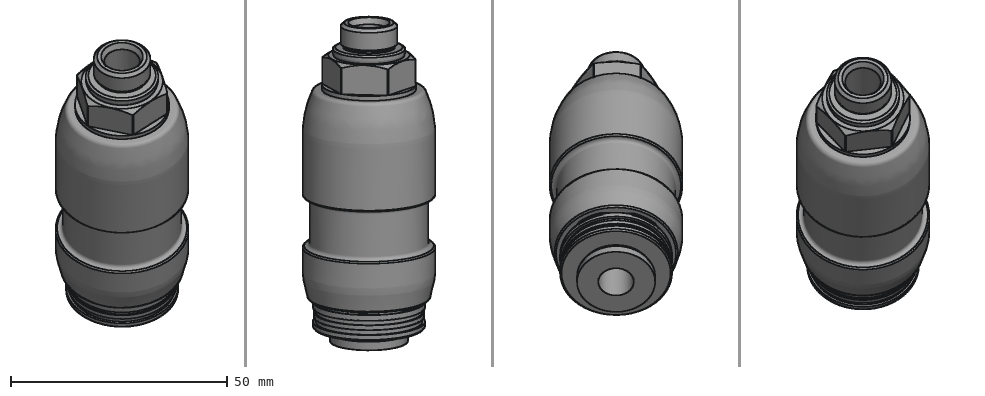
import cadquery as cq
import math

TOTAL_HEIGHT = 76.0

BORE_DIA = 8.2
BORE_MOUTH_DIA = 9.65
BORE_MOUTH_DEPTH = 1.45

SPIGOT_DIA = 18.1
SPIGOT_TOP_Z = 2.05
SPIGOT_NECK_DIA = 16.95

RING_DIA = 26.0
RING_MIDDLE_DIA = 25.5
GROOVE_DIA = 24.8
RING_STACK_BOTTOM_Z = 3.2
RING_CHAMFER = 0.4
GROOVE_HEIGHT = 1.15
LOWER_RING_TOP_Z = 4.6
UPPER_RING_BOTTOM_Z = LOWER_RING_TOP_Z + 3 * GROOVE_HEIGHT
UPPER_RING_TOP_Z = 9.4

BAND_DIA = 25.5
BAND_ACROSS_FLATS = 24.5

SLEEVE_DIA = 30.8
SLEEVE_RADIUS = SLEEVE_DIA / 2
EDGE_CHAMFER = 0.4
COLLAR_BOTTOM_Z = 10.25
COLLAR_CONE_ANGLE = 13.0
COLLAR_ARC_BOTTOM_Z = 14.7
COLLAR_ARC_TOP_Z = 16.5
COLLAR_TOP_Z = 22.7
WAIST_DIA = 27.5
WAIST_FILLET = 0.9
BODY_BOTTOM_Z = 34.65
BODY_SHOULDER_Z = 49.85
DOME_BOTTOM_Z = 50.9
DOME_BOTTOM_RADIUS = 15.35
BODY_TOP_Z = 60.1
BODY_TOP_DIA = 24.8
DOME_TOP_RADIUS = 13.2
BODY_TOP_ROUND_HEIGHT = 0.7

FLANGE_DIA = 21.8
HEX_BOTTOM_Z = 61.2
HEX_TOP_Z = 68.25
HEX_ACROSS_FLATS = 19.0
HEX_CORNER_DIA = 21.7
HEX_CHAMFER_DIA = 18.85
HEX_CHAMFER_HEIGHT = 0.8

DISC_DIA = 16.8
DISC_TOP_DIA = 15.6
DISC_TOP_Z = 70.15
DISC_CHAMFER_HEIGHT = 0.4
DISC_TAPER_TOP_Z = 68.85
DISC_BOTTOM_DIA = 16.4

NIPPLE_DIA = 13.15
NIPPLE_TOP_DIA = 11.5
NIPPLE_TOP_CHAMFER = 0.75
NIPPLE_NECK_DIA = 12.0
NIPPLE_NECK_TOP_Z = 70.5
NIPPLE_BOTTOM_Z = 71.05


def disc(diameter, bottom_z, top_z):
    return cq.Workplane("XY").workplane(offset=bottom_z).circle(diameter / 2).extrude(top_z - bottom_z)


def cone(bottom_dia, top_dia, bottom_z, top_z):
    profile = cq.Workplane("XZ").moveTo(0, bottom_z).lineTo(bottom_dia / 2, bottom_z)
    return profile.lineTo(top_dia / 2, top_z).lineTo(0, top_z).close().revolve(360, (0, 0), (0, 1))


def hex_prism(across_flats, bottom_z, top_z):
    """Hexagonal prism with flats facing +X and -X."""
    corner_dia = across_flats / math.cos(math.pi / 6)
    prism = cq.Workplane("XY").polygon(6, corner_dia).extrude(top_z - bottom_z)
    return prism.rotate((0, 0, 0), (0, 0, 1), 30).translate((0, 0, bottom_z))


def make_spigot():
    foot = disc(SPIGOT_DIA, 0, SPIGOT_TOP_Z)
    return foot.union(disc(SPIGOT_NECK_DIA, SPIGOT_TOP_Z, RING_STACK_BOTTOM_Z))


def make_ring_stack():
    stack = disc(GROOVE_DIA, LOWER_RING_TOP_Z, UPPER_RING_BOTTOM_Z)
    middle_z = LOWER_RING_TOP_Z + GROOVE_HEIGHT
    stack = stack.union(disc(RING_MIDDLE_DIA, middle_z, middle_z + GROOVE_HEIGHT))
    stack = stack.union(disc(RING_DIA, UPPER_RING_BOTTOM_Z, UPPER_RING_TOP_Z))
    lower_ring = disc(RING_DIA, RING_STACK_BOTTOM_Z, LOWER_RING_TOP_Z).faces("<Z").chamfer(RING_CHAMFER)
    return stack.union(lower_ring)


def make_flatted_band():
    band = disc(BAND_DIA, UPPER_RING_TOP_Z, COLLAR_BOTTOM_Z)
    return band.intersect(hex_prism(BAND_ACROSS_FLATS, UPPER_RING_TOP_Z, COLLAR_BOTTOM_Z))


def make_sleeve():
    angle = math.radians(COLLAR_CONE_ANGLE)
    arc_radius = (COLLAR_ARC_TOP_Z - COLLAR_ARC_BOTTOM_Z) / math.sin(angle)
    cone_top_radius = SLEEVE_RADIUS - arc_radius * (1 - math.cos(angle))
    cone_bottom_z = COLLAR_BOTTOM_Z + EDGE_CHAMFER
    cone_bottom_radius = cone_top_radius - (COLLAR_ARC_BOTTOM_Z - cone_bottom_z) * math.tan(angle)
    waist_radius = WAIST_DIA / 2
    fillet_radius = waist_radius + WAIST_FILLET
    dome_top_z = BODY_TOP_Z - BODY_TOP_ROUND_HEIGHT
    profile = (
        cq.Workplane("XZ")
        .moveTo(0, COLLAR_BOTTOM_Z)
        .lineTo(cone_bottom_radius - EDGE_CHAMFER, COLLAR_BOTTOM_Z)
        .lineTo(cone_bottom_radius, cone_bottom_z)
        .lineTo(cone_top_radius, COLLAR_ARC_BOTTOM_Z)
        .tangentArcPoint((SLEEVE_RADIUS, COLLAR_ARC_TOP_Z), relative=False)
        .lineTo(SLEEVE_RADIUS, COLLAR_TOP_Z - EDGE_CHAMFER)
        .lineTo(SLEEVE_RADIUS - EDGE_CHAMFER, COLLAR_TOP_Z)
        .lineTo(fillet_radius, COLLAR_TOP_Z)
        .radiusArc((waist_radius, COLLAR_TOP_Z + WAIST_FILLET), WAIST_FILLET)
        .lineTo(waist_radius, BODY_BOTTOM_Z - WAIST_FILLET)
        .radiusArc((fillet_radius, BODY_BOTTOM_Z), WAIST_FILLET)
        .lineTo(SLEEVE_RADIUS - EDGE_CHAMFER, BODY_BOTTOM_Z)
        .lineTo(SLEEVE_RADIUS, BODY_BOTTOM_Z + EDGE_CHAMFER)
        .lineTo(SLEEVE_RADIUS, BODY_SHOULDER_Z)
        .tangentArcPoint((DOME_BOTTOM_RADIUS, DOME_BOTTOM_Z), relative=False)
        .tangentArcPoint((DOME_TOP_RADIUS, dome_top_z), relative=False)
        .tangentArcPoint((BODY_TOP_DIA / 2, BODY_TOP_Z), relative=False)
        .lineTo(0, BODY_TOP_Z)
        .close()
    )
    return profile.revolve(360, (0, 0), (0, 1))


def make_hexagon():
    chamfer_z = HEX_TOP_Z - HEX_CHAMFER_HEIGHT
    envelope = disc(HEX_CORNER_DIA, HEX_BOTTOM_Z, chamfer_z)
    envelope = envelope.union(cone(HEX_CORNER_DIA, HEX_CHAMFER_DIA, chamfer_z, HEX_TOP_Z))
    hexagon = hex_prism(HEX_ACROSS_FLATS, HEX_BOTTOM_Z, HEX_TOP_Z).intersect(envelope)
    return hexagon.union(disc(FLANGE_DIA, BODY_TOP_Z, HEX_BOTTOM_Z))


def make_seal_disc():
    chamfer_z = DISC_TOP_Z - DISC_CHAMFER_HEIGHT
    seal = cone(DISC_BOTTOM_DIA, DISC_DIA, HEX_TOP_Z, DISC_TAPER_TOP_Z)
    seal = seal.union(disc(DISC_DIA, DISC_TAPER_TOP_Z, chamfer_z))
    return seal.union(cone(DISC_DIA, DISC_TOP_DIA, chamfer_z, DISC_TOP_Z))


def make_nipple():
    chamfer_z = TOTAL_HEIGHT - NIPPLE_TOP_CHAMFER
    nipple = disc(NIPPLE_NECK_DIA, DISC_TOP_Z, NIPPLE_NECK_TOP_Z)
    nipple = nipple.union(cone(NIPPLE_NECK_DIA, NIPPLE_DIA, NIPPLE_NECK_TOP_Z, NIPPLE_BOTTOM_Z))
    nipple = nipple.union(disc(NIPPLE_DIA, NIPPLE_BOTTOM_Z, chamfer_z))
    return nipple.union(cone(NIPPLE_DIA, NIPPLE_TOP_DIA, chamfer_z, TOTAL_HEIGHT))


def make_bore():
    mouth = cone(BORE_DIA, BORE_MOUTH_DIA, TOTAL_HEIGHT - BORE_MOUTH_DEPTH, TOTAL_HEIGHT)
    return disc(BORE_DIA, 0, TOTAL_HEIGHT).union(mouth)


result = make_spigot()
for section in (
    make_ring_stack(),
    make_flatted_band(),
    make_sleeve(),
    make_hexagon(),
    make_seal_disc(),
    make_nipple(),
):
    result = result.union(section)
result = result.cut(make_bore())